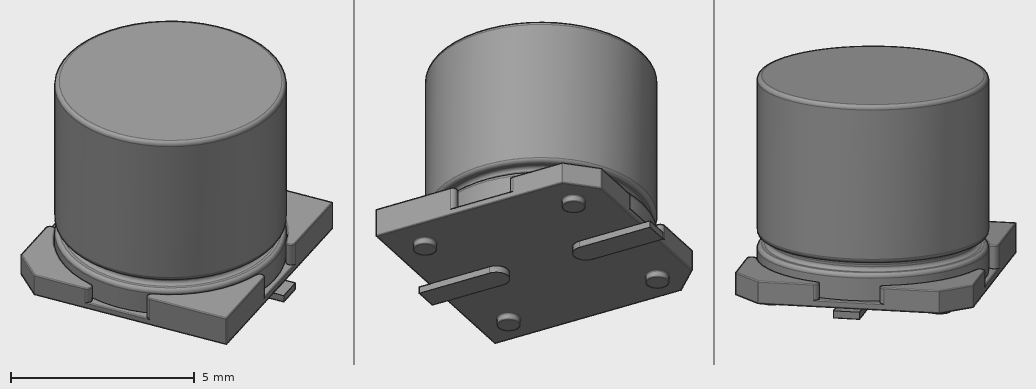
import cadquery as cq
import math


total_length = 7.2
total_height = 5.9

base_width = 6.6
base_half = base_width / 2
base_bottom = 0.2
ledge_height = 0.395
low_post_top = 0.84
high_post_top = 1.05
corner_cut = 0.785
post_bore_radius = 3.175
post_tip_radius = 0.14
edge_round = 0.03
foot_round = 0.02

can_radius = 6.3 / 2
groove_radius = 5.67 / 2
groove_bottom = 1.16
groove_top = 1.45
groove_round = 0.115
can_round = 0.12

lead_width = 0.73
lead_inner_end = 1.04
foot_diameter = 0.63
foot_offset = 2.32


def make_plate():
    """Square floor of the base with its two -X corners cut off."""
    return (
        cq.Workplane("XY")
        .workplane(offset=base_bottom)
        .rect(base_width, base_width)
        .extrude(ledge_height - base_bottom)
        .edges("|Z and <X")
        .chamfer(corner_cut)
    )


def make_post(side_x, side_y):
    """Corner post hugging the can, with a full round at each end; lower and cut on the -X side."""
    tip_near = base_half - post_tip_radius
    tip_distance = post_bore_radius + post_tip_radius
    tip_far = math.sqrt(tip_distance**2 - tip_near**2)
    touch_near = tip_near * post_bore_radius / tip_distance
    touch_far = tip_far * post_bore_radius / tip_distance
    tip_end = tip_far - post_tip_radius
    bore_diagonal = post_bore_radius * math.sqrt(0.5)

    def at(x, y):
        return (side_x * x, side_y * y)

    is_low = side_x < 0
    top = low_post_top if is_low else high_post_top
    outline = cq.Workplane("XY").workplane(offset=base_bottom).moveTo(*at(tip_far, base_half))
    if is_low:
        outline = outline.lineTo(*at(base_half - corner_cut, base_half))
        outline = outline.lineTo(*at(base_half, base_half - corner_cut))
    else:
        outline = outline.lineTo(*at(base_half, base_half))
    return (
        outline.lineTo(*at(base_half, tip_far))
        .threePointArc(at(tip_near, tip_end), at(touch_near, touch_far))
        .threePointArc(at(bore_diagonal, bore_diagonal), at(touch_far, touch_near))
        .threePointArc(at(tip_end, tip_near), at(tip_far, base_half))
        .close()
        .extrude(top - base_bottom)
    )


def is_outer_corner(edge):
    """True for an upright edge on the outer corners, far from both middle planes."""
    center = edge.Center()
    return min(abs(center.x), abs(center.y)) > base_half / 2


def is_ledge_edge(edge):
    """True for an edge level with the notch floors."""
    return abs(edge.Center().z - ledge_height) < edge_round


def is_foot_edge(edge):
    """True for the circles at the root and rim of a foot."""
    return edge.Center().z < base_bottom + foot_round and edge.radius() < foot_diameter


def make_base():
    """Plate and four posts, with slightly rounded rims, outer corners and notch ledges."""
    base = make_plate()
    for side_x in (-1, 1):
        for side_y in (-1, 1):
            base = base.union(make_post(side_x, side_y))
    base = base.clean()
    post_tops = base.faces("+Z").filter(lambda face: face.Center().z > ledge_height + edge_round)
    corners = base.edges("|Z").filter(is_outer_corner)
    ledges = base.edges("%LINE").filter(is_ledge_edge)
    bottom = base.faces("<Z").edges()
    return post_tops.edges().add(corners).add(ledges).add(bottom).fillet(edge_round)


def make_can():
    """Can with rounded ends and a crimp groove near its foot, revolved about Z."""
    diagonal = math.sqrt(0.5)
    lip_radius = can_radius - can_round
    floor_radius = groove_radius + groove_round
    can_bend = can_round * diagonal
    groove_bend = groove_round * diagonal
    lip_start = groove_bottom - can_round
    wall_start = groove_top + can_round
    wall_end = total_height - can_round
    floor_start = groove_bottom + groove_round
    floor_end = groove_top - groove_round
    profile = (
        cq.Workplane("XZ")
        .moveTo(0, ledge_height)
        .lineTo(can_radius, ledge_height)
        .lineTo(can_radius, lip_start)
        .threePointArc((lip_radius + can_bend, lip_start + can_bend), (lip_radius, groove_bottom))
        .lineTo(floor_radius, groove_bottom)
        .threePointArc((floor_radius - groove_bend, floor_start - groove_bend), (groove_radius, floor_start))
        .lineTo(groove_radius, floor_end)
        .threePointArc((floor_radius - groove_bend, floor_end + groove_bend), (floor_radius, groove_top))
        .lineTo(lip_radius, groove_top)
        .threePointArc((lip_radius + can_bend, wall_start - can_bend), (can_radius, wall_start))
        .lineTo(can_radius, wall_end)
        .threePointArc((lip_radius + can_bend, wall_end + can_bend), (lip_radius, total_height))
        .lineTo(0, total_height)
        .close()
    )
    return profile.revolve(360, (0, 0, 0), (0, 1, 0))


def make_lead(side):
    """Flat lead under the base, square outside and fully rounded at its inner end."""
    half_width = lead_width / 2
    outer_end = side * total_length / 2
    round_start = side * (lead_inner_end + half_width)
    return (
        cq.Workplane("XY")
        .moveTo(outer_end, -half_width)
        .lineTo(round_start, -half_width)
        .threePointArc((side * lead_inner_end, 0), (round_start, half_width))
        .lineTo(outer_end, half_width)
        .close()
        .extrude(base_bottom)
    )


def add_feet(base):
    """Four round standoff feet under the base corners, rounded at both their root and their rim."""
    feet = (
        cq.Workplane("XY")
        .rect(2 * foot_offset, 2 * foot_offset, forConstruction=True)
        .vertices()
        .circle(foot_diameter / 2)
        .extrude(base_bottom)
    )
    footed = base.union(feet)
    return footed.edges("%CIRCLE").filter(is_foot_edge).fillet(foot_round)


result = add_feet(make_base()).union(make_can())
for lead_side in (-1, 1):
    result = result.union(make_lead(lead_side))